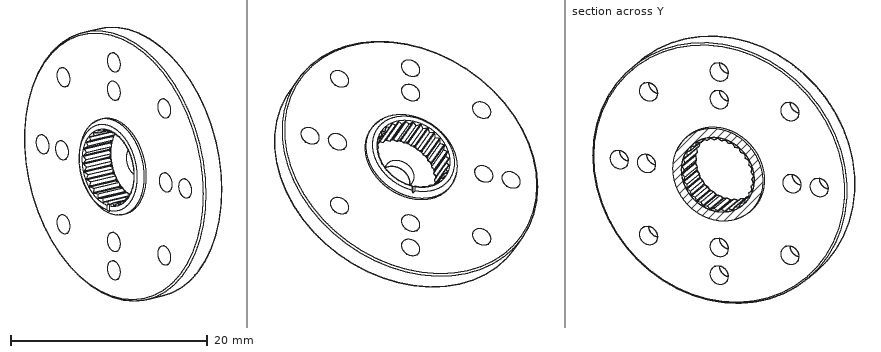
import cadquery as cq
import math

disc_diameter = 28.0
disc_thickness = 2.52
disc_chamfer = 0.2

hub_diameter = 10.0
front_hub_height = 0.78
rear_hub_height = 1.8
front_hub_chamfer = 0.5
rear_hub_chamfer = 0.22

tooth_count = 30
spline_root_radius = 3.92
socket_mouth_radius = 4.0
spline_tip_radius = 3.72
spline_root_width = 0.1
socket_depth = 3.9
relief_width = 0.22
lead_in_depth = 0.28

screw_hole_diameter = 3.2

mark_width = 0.35
mark_depth = 0.2

mount_hole_diameter = 2.0
inner_circle_radius = 8.0
inner_hole_count = 4
outer_circle_radius = 11.0
outer_hole_count = 8

hub_front = -front_hub_height
hub_rear = disc_thickness + rear_hub_height
socket_floor = hub_front + socket_depth
spline_end = socket_floor - relief_width


def cylinder(diameter, start, end):
    """Cylinder about the Y axis between two Y positions."""
    plane = cq.Workplane("XZ", origin=(0, start, 0))
    return plane.circle(diameter / 2).extrude(start - end)


def make_body():
    disc = cylinder(disc_diameter, 0, disc_thickness).edges().chamfer(disc_chamfer)
    hub = cylinder(hub_diameter, hub_front, hub_rear)
    hub = hub.faces("<Y").edges().chamfer(front_hub_chamfer)
    hub = hub.faces(">Y").edges().chamfer(rear_hub_chamfer)
    return disc.union(hub)


def polar_point(radius, angle):
    return (radius * math.cos(angle), radius * math.sin(angle))


def make_spline():
    """Bore with sharp teeth and flat roots; the middle of one root points straight down."""
    pitch = 2 * math.pi / tooth_count
    half_flat = math.asin(spline_root_width / 2 / spline_root_radius)
    outline = []
    for tooth in range(tooth_count):
        root_angle = tooth * pitch - math.pi / 2
        outline += [
            polar_point(spline_root_radius, root_angle - half_flat),
            polar_point(spline_root_radius, root_angle + half_flat),
            polar_point(spline_tip_radius, root_angle + pitch / 2),
        ]
    plane = cq.Workplane("XZ", origin=(0, hub_front, 0))
    return plane.polyline(outline).close().extrude(hub_front - spline_end)


def make_lead_in():
    """Cone at 45 degrees that opens the spline out to the socket mouth."""
    cone_end = hub_front + lead_in_depth
    cone_end_radius = socket_mouth_radius - lead_in_depth
    half_section = [
        (0, hub_front),
        (socket_mouth_radius, hub_front),
        (cone_end_radius, cone_end),
        (0, cone_end),
    ]
    return cq.Workplane("XY").polyline(half_section).close().revolve(360, (0, 0), (0, 1))


def make_index_mark():
    """Radial V groove across the lower part of the hub rim."""
    profile = [
        (-mark_width / 2, hub_front),
        (mark_width / 2, hub_front),
        (0, hub_front + mark_depth),
    ]
    return cq.Workplane("XY").polyline(profile).close().extrude(-hub_diameter / 2)


def make_hole_ring(circle_radius, count):
    centres = cq.Workplane("XZ").polarArray(circle_radius, 0, 360, count)
    return centres.circle(mount_hole_diameter / 2).extrude(-disc_thickness)


def make_relief_groove():
    return cylinder(2 * socket_mouth_radius, spline_end, socket_floor)


def make_screw_hole():
    return cylinder(screw_hole_diameter, hub_front, hub_rear)


result = (
    make_body()
    .cut(make_spline())
    .cut(make_lead_in())
    .cut(make_relief_groove())
    .cut(make_index_mark())
    .cut(make_screw_hole())
    .cut(make_hole_ring(inner_circle_radius, inner_hole_count))
    .cut(make_hole_ring(outer_circle_radius, outer_hole_count))
)